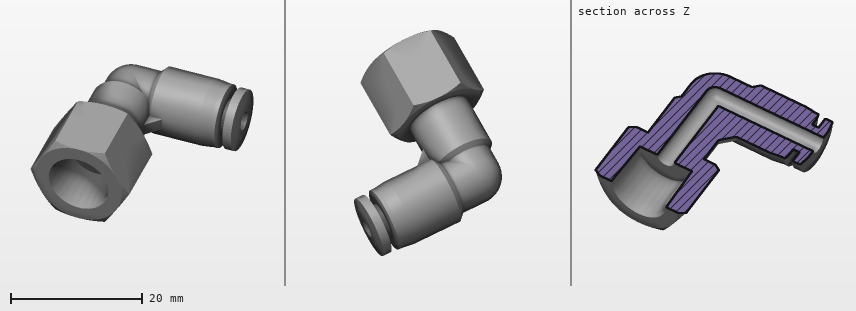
import cadquery as cq
import math


elbow_radius = 4.27
passage_radius = 1.5

sleeve_radius = 5.02
sleeve_start = 2.83
sleeve_bevel = sleeve_radius - elbow_radius
nut_start = 11.45
nut_length = 11.02
nut_end = nut_start + nut_length
nut_across_flats = 14.0
nut_chamfer_angle = 30

bore_mouth_radius = 4.85
bore_depth = 8.0
bore_taper = 1 / 16
bore_floor_radius = bore_mouth_radius - bore_depth * bore_taper / 2

socket_radius = 5.27
socket_start = 4.0
socket_bevel = socket_radius - elbow_radius
socket_taper_start = 12.85
socket_rim_start = 14.8
socket_rim_radius = 5.02
socket_rim_end = 15.48
socket_end = 15.68
socket_face_radius = 4.27
taper_bulge = 0.03
stem_radius = 2.83
collar_start = 16.73
collar_rim_end = 18.12
collar_end = 18.45
collar_radius = 4.85
collar_face_radius = 2.95

gusset_thickness = 2.0
gusset_reach = 12.25


def make_tube_leg():
    """Elbow arm, socket, release stem and collar turned about X."""
    taper_middle = (
        (socket_taper_start + socket_rim_start) / 2,
        (socket_radius + socket_rim_radius) / 2 + taper_bulge,
    )
    return (
        cq.Workplane("XY")
        .lineTo(0, elbow_radius)
        .lineTo(socket_start, elbow_radius)
        .lineTo(socket_start + socket_bevel, socket_radius)
        .lineTo(socket_taper_start, socket_radius)
        .threePointArc(taper_middle, (socket_rim_start, socket_rim_radius))
        .lineTo(socket_rim_end, socket_rim_radius)
        .lineTo(socket_end, socket_face_radius)
        .lineTo(socket_end, stem_radius)
        .lineTo(collar_start, stem_radius)
        .lineTo(collar_start, collar_radius)
        .lineTo(collar_rim_end, collar_radius)
        .lineTo(collar_end, collar_face_radius)
        .lineTo(collar_end, 0)
        .close()
        .revolve(360, (0, 0, 0), (1, 0, 0))
    )


def make_threaded_leg():
    """Elbow arm and bevelled sleeve turned about Y."""
    return (
        cq.Workplane("XY")
        .lineTo(elbow_radius, 0)
        .lineTo(elbow_radius, -sleeve_start)
        .lineTo(sleeve_radius, -sleeve_start - sleeve_bevel)
        .lineTo(sleeve_radius, -nut_end)
        .lineTo(0, -nut_end)
        .close()
        .revolve(360, (0, 0, 0), (0, 1, 0))
    )


def make_nut():
    """Hexagon with corners on the X axis, its corners chamfered at both ends."""
    corner_radius = nut_across_flats / 2 / math.cos(math.radians(30))
    flat_radius = nut_across_flats / 2
    chamfer_length = (corner_radius - flat_radius) * math.tan(math.radians(nut_chamfer_angle))
    hexagon = (
        cq.Workplane("XZ", origin=(0, -nut_start, 0))
        .polygon(6, 2 * corner_radius)
        .extrude(nut_length)
    )
    chamfer_envelope = (
        cq.Workplane("XY")
        .moveTo(0, -nut_start)
        .lineTo(flat_radius, -nut_start)
        .lineTo(corner_radius, -nut_start - chamfer_length)
        .lineTo(corner_radius, -nut_end + chamfer_length)
        .lineTo(flat_radius, -nut_end)
        .lineTo(0, -nut_end)
        .close()
        .revolve(360, (0, 0, 0), (0, 1, 0))
    )
    return hexagon.intersect(chamfer_envelope)


def make_gusset():
    """Thin triangular web, centred on Z = 0, whose root lies inside both legs."""
    return (
        cq.Workplane("XY")
        .moveTo(elbow_radius, -elbow_radius)
        .lineTo(gusset_reach - elbow_radius, -elbow_radius)
        .lineTo(elbow_radius, elbow_radius - gusset_reach)
        .close()
        .extrude(gusset_thickness / 2, both=True)
    )


def make_passage():
    """Round passage through both legs with a spherical corner, and the nut bore."""
    corner = cq.Workplane("XY").sphere(passage_radius)
    tube_passage = cq.Workplane("YZ").circle(passage_radius).extrude(collar_end)
    nut_passage = cq.Workplane("XZ").circle(passage_radius).extrude(nut_end)
    nut_bore = (
        cq.Workplane("XZ", origin=(0, -nut_end + bore_depth, 0))
        .circle(bore_floor_radius)
        .workplane(offset=bore_depth)
        .circle(bore_mouth_radius)
        .loft(ruled=True)
    )
    return corner.union(tube_passage).union(nut_passage).union(nut_bore)


elbow = cq.Workplane("XY").sphere(elbow_radius)
body = elbow.union(make_tube_leg()).union(make_threaded_leg())
body = body.union(make_nut()).union(make_gusset())
result = body.cut(make_passage())